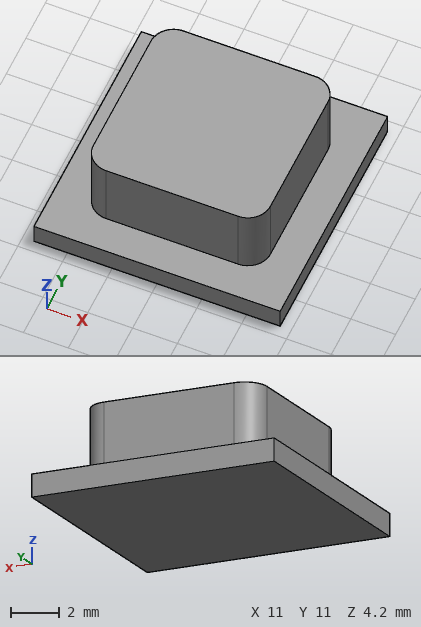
import cadquery as cq

plate_side = 11.0
plate_thickness = 1.0

overall_height = 4.2
block_side = 7.9
block_corner_radius = 1.0
block_height = overall_height - plate_thickness


def make_plate():
    """Flat square plate with its underside on Z = 0."""
    return cq.Workplane("XY").rect(plate_side, plate_side).extrude(plate_thickness)


def make_block():
    """Square block with rounded corners, standing on the plate."""
    return (
        cq.Workplane("XY")
        .workplane(offset=plate_thickness)
        .rect(block_side, block_side)
        .extrude(block_height)
        .edges("|Z")
        .fillet(block_corner_radius)
    )


result = make_plate().union(make_block())